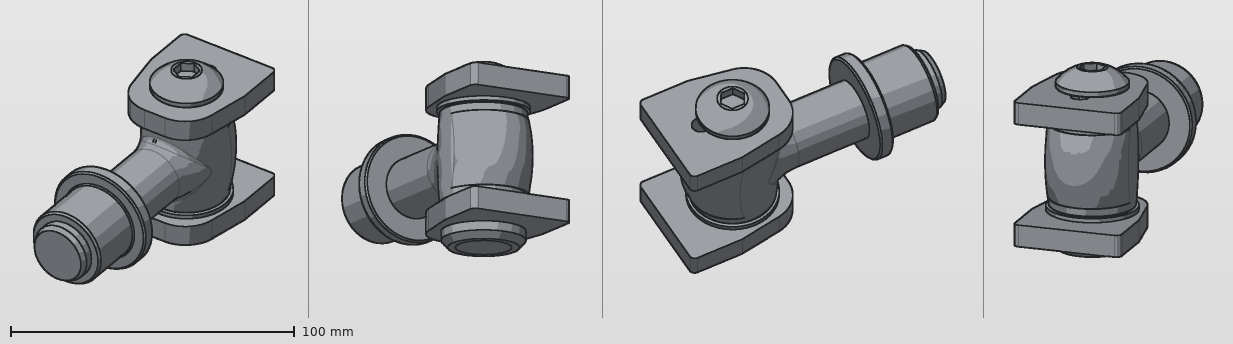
import cadquery as cq
import math


eye_half_height = 17.0
washer_thickness = 1.5
plate_thickness = 8.0
washer_outer_z = eye_half_height + washer_thickness
plate_outer_z = washer_outer_z + plate_thickness

plate_half_width = 20.0
plate_back_y = 27.0
plate_front_y = -20.0
taper_start_y = 7.1
taper_angle = 10
plate_back_radius = 2.0
plate_front_radius = 13.0
notch_dia = 6.4
notch_y = 12.7

washer_dia = 33.0

shank_dia = 19.9
head_dia = 26.0
head_rim_height = 2.0
head_height = 7.3
head_flat_dia = 10.9
head_edge_chamfer = 0.3
socket_across_flats = 8.2
socket_depth = 3.3

nut_dia = 30
nut_height = 5.9
nut_chamfer_length = 2.6
nut_chamfer_width = 2.4

eye_end_radius = 15.5
eye_mid_radius = 16.3
eye_chamfer = 0.5
bulge_half_height = 13.6
bulge_mid_radius = 15.4
bulge_mid_offset = 3.9
bulge_end_radius = 15.6
bulge_end_offset = 0.6

rod_dia = 22.0
rod_end_y = -80.0
rod_chamfer_length = 2.0
rod_chamfer_width = 1.1
neck_start_y = -20.7
neck_inner_y = -4.3
neck_inner_radius = 15.5
neck_angle = 12
neck_fillet = 2.1

flange_dia = 39.0
flange_start_y = -48.9
flange_thickness = 5.2
flange_chamfer = 0.6
sleeve_dia = 28.9
sleeve_end_y = -75.0
sleeve_chamfer_length = 1.0
sleeve_chamfer_width = 0.6
root_dia = 30


def make_washer():
    """Flat washer standing on top of the eye."""
    return (
        cq.Workplane("XY", origin=(0, 0, eye_half_height))
        .circle(washer_dia / 2)
        .circle(shank_dia / 2)
        .extrude(washer_thickness)
    )


def make_plate():
    """Tapered hinge plate standing on top of the upper washer."""
    taper_run = (taper_start_y - plate_front_y) * math.tan(math.radians(taper_angle))
    front_half_width = plate_half_width - taper_run
    blank = (
        cq.Workplane("XY", origin=(0, 0, washer_outer_z))
        .moveTo(-plate_half_width, plate_back_y)
        .lineTo(plate_half_width, plate_back_y)
        .lineTo(plate_half_width, taper_start_y)
        .lineTo(front_half_width, plate_front_y)
        .lineTo(-front_half_width, plate_front_y)
        .lineTo(-plate_half_width, taper_start_y)
        .close()
        .extrude(plate_thickness)
    )
    rounded = blank.edges("|Z and >Y").fillet(plate_back_radius)
    rounded = rounded.edges("|Z and <Y").fillet(plate_front_radius)
    return rounded.faces(">Z").workplane(origin=(0, 0, 0)).hole(shank_dia)


def cut_notch(plate):
    """Round notch that opens into the screw hole of the upper plate."""
    notch = (
        cq.Workplane("XY", origin=(0, notch_y, washer_outer_z))
        .circle(notch_dia / 2)
        .extrude(plate_thickness)
    )
    return plate.cut(notch)


def make_screw():
    """Domed screw with a hexagon socket; its shank ends flush with the nut."""
    rim_radius = head_dia / 2
    flat_radius = head_flat_dia / 2
    rim_z = plate_outer_z + head_rim_height
    top_z = plate_outer_z + head_height
    shank_end_z = -plate_outer_z - nut_height

    dome_rise = head_height - head_rim_height
    rim_to_centre = (rim_radius**2 - flat_radius**2 - dome_rise**2) / (2 * dome_rise)
    dome_radius = math.hypot(rim_radius, rim_to_centre)
    middle_radius = (rim_radius + flat_radius) / 2
    middle_z = rim_z - rim_to_centre + math.sqrt(dome_radius**2 - middle_radius**2)

    body = (
        cq.Workplane("XZ")
        .moveTo(0, shank_end_z)
        .lineTo(shank_dia / 2, shank_end_z)
        .lineTo(shank_dia / 2, plate_outer_z)
        .lineTo(rim_radius - head_edge_chamfer, plate_outer_z)
        .lineTo(rim_radius, plate_outer_z + head_edge_chamfer)
        .lineTo(rim_radius, rim_z)
        .threePointArc((middle_radius, middle_z), (flat_radius, top_z))
        .lineTo(0, top_z)
        .close()
        .revolve(360, (0, 0, 0), (0, 1, 0))
    )
    across_corners = socket_across_flats / math.cos(math.radians(30))
    socket = (
        cq.Workplane("XY", origin=(0, 0, top_z - socket_depth))
        .transformed(rotate=(0, 0, 90))
        .polygon(6, across_corners)
        .extrude(socket_depth)
    )
    return body.cut(socket)


def make_nut():
    """Round nut under the lower plate, chamfered at its free end."""
    outer_radius = nut_dia / 2
    end_z = -plate_outer_z - nut_height
    return (
        cq.Workplane("XZ")
        .moveTo(shank_dia / 2, -plate_outer_z)
        .lineTo(outer_radius, -plate_outer_z)
        .lineTo(outer_radius, end_z + nut_chamfer_length)
        .lineTo(outer_radius - nut_chamfer_width, end_z)
        .lineTo(shank_dia / 2, end_z)
        .close()
        .revolve(360, (0, 0, 0), (0, 1, 0))
    )


def make_eye_barrel():
    """Slightly barrel-shaped eye with chamfered ends, not yet bored."""
    shoulder_z = eye_half_height - eye_chamfer
    end_radius = eye_end_radius - eye_chamfer
    return (
        cq.Workplane("XZ")
        .moveTo(0, -eye_half_height)
        .lineTo(end_radius, -eye_half_height)
        .lineTo(eye_end_radius, -shoulder_z)
        .threePointArc((eye_mid_radius, 0), (eye_end_radius, shoulder_z))
        .lineTo(end_radius, eye_half_height)
        .lineTo(0, eye_half_height)
        .close()
        .revolve(360, (0, 0, 0), (0, 1, 0))
    )


def make_eye_bulge():
    """Bulge on the back of the eye, with round sections that lean out furthest at mid height."""
    return (
        cq.Workplane("XY", origin=(0, 0, -bulge_half_height))
        .center(0, bulge_end_offset)
        .circle(bulge_end_radius)
        .workplane(offset=bulge_half_height)
        .center(0, bulge_mid_offset - bulge_end_offset)
        .circle(bulge_mid_radius)
        .workplane(offset=bulge_half_height)
        .center(0, bulge_end_offset - bulge_mid_offset)
        .circle(bulge_end_radius)
        .loft()
    )


def make_neck():
    """Neck that flares smoothly from the rod into the eye."""
    rod_radius = rod_dia / 2
    angle = math.radians(neck_angle)
    rod_direction = (0, 1)
    inner_direction = (math.sin(angle), math.cos(angle))
    return (
        cq.Workplane("XY")
        .moveTo(0, neck_start_y)
        .lineTo(rod_radius, neck_start_y)
        .spline(
            [(neck_inner_radius, neck_inner_y)],
            tangents=[rod_direction, inner_direction],
            includeCurrent=True,
        )
        .lineTo(0, neck_inner_y)
        .close()
        .revolve(360, (0, 0, 0), (0, 1, 0))
    )


def make_rod():
    """Straight round rod with a chamfered free end."""
    rod_radius = rod_dia / 2
    return (
        cq.Workplane("XY")
        .moveTo(0, neck_start_y)
        .lineTo(rod_radius, neck_start_y)
        .lineTo(rod_radius, rod_end_y + rod_chamfer_length)
        .lineTo(rod_radius - rod_chamfer_width, rod_end_y)
        .lineTo(0, rod_end_y)
        .close()
        .revolve(360, (0, 0, 0), (0, 1, 0))
    )


def make_eye_rod():
    """Rod, neck and bored eye in one piece."""
    eye = make_eye_barrel().union(make_neck())
    margin = 1.1
    meeting_edge = cq.selectors.BoxSelector(
        (-margin, neck_start_y + margin, -margin),
        (margin, neck_inner_y, margin),
    )
    eye = eye.edges(meeting_edge).fillet(neck_fillet)
    bore = cq.Workplane("XY").circle(shank_dia / 2).extrude(eye_half_height, both=True)
    return eye.union(make_eye_bulge()).union(make_rod()).cut(bore)


def make_sleeve():
    """Flanged sleeve on the rod, with a small cone where the barrel meets the flange."""
    bore_radius = rod_dia / 2
    flange_radius = flange_dia / 2
    sleeve_radius = sleeve_dia / 2
    flange_end_y = flange_start_y - flange_thickness
    root_radius = root_dia / 2
    root_end_y = flange_end_y - (root_radius - sleeve_radius)
    return (
        cq.Workplane("XY")
        .moveTo(bore_radius, flange_start_y)
        .lineTo(flange_radius - flange_chamfer, flange_start_y)
        .lineTo(flange_radius, flange_start_y - flange_chamfer)
        .lineTo(flange_radius, flange_end_y + flange_chamfer)
        .lineTo(flange_radius - flange_chamfer, flange_end_y)
        .lineTo(root_radius, flange_end_y)
        .lineTo(sleeve_radius, root_end_y)
        .lineTo(sleeve_radius, sleeve_end_y + sleeve_chamfer_length)
        .lineTo(sleeve_radius - sleeve_chamfer_width, sleeve_end_y)
        .lineTo(bore_radius, sleeve_end_y)
        .close()
        .revolve(360, (0, 0, 0), (0, 1, 0))
    )


washers = []
plates = []
for side in ("upper", "lower"):
    washer = make_washer()
    plate = make_plate()
    if side == "upper":
        plate = cut_notch(plate)
    else:
        washer = washer.mirror("XY")
        plate = plate.mirror("XY")
    washers.append(washer.val())
    plates.append(plate.val())

screw = make_screw()
nut = make_nut()
eye_rod = make_eye_rod()
sleeve = make_sleeve()

result = cq.Compound.makeCompound(
    [*plates, *washers, screw.val(), nut.val(), eye_rod.val(), sleeve.val()]
)